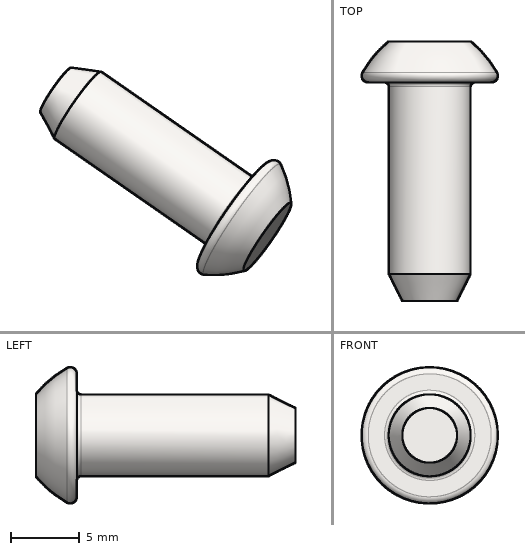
import cadquery as cq
import math

total_length = 19.0
head_height = 3.0
head_diameter = 10.0
crown_diameter = 6.08
shank_diameter = 6.0
tip_diameter = 4.0
tip_length = 2.0

rim_radius = 0.5
rim_end_angle = math.radians(30)
neck_fillet_radius = 0.3

head_radius = head_diameter / 2
shank_radius = shank_diameter / 2
tip_end_y = head_height - total_length
tip_start_y = tip_end_y + tip_length
rim_center_x = head_radius - rim_radius


def rim_point(angle):
    """Point on the rim arc, with the angle measured up from the widest point."""
    return (
        rim_center_x + rim_radius * math.cos(angle),
        rim_radius + rim_radius * math.sin(angle),
    )


half_profile = (
    cq.Workplane("XY")
    .moveTo(0, tip_end_y)
    .lineTo(tip_diameter / 2, tip_end_y)
    .lineTo(shank_radius, tip_start_y)
    .lineTo(shank_radius, -neck_fillet_radius)
    .tangentArcPoint((shank_radius + neck_fillet_radius, 0), relative=False)
    .lineTo(rim_center_x, 0)
    .threePointArc(rim_point(0), rim_point(rim_end_angle))
    .tangentArcPoint((crown_diameter / 2, head_height), relative=False)
    .lineTo(0, head_height)
    .close()
)

result = half_profile.revolve(360, (0, 0, 0), (0, 1, 0))